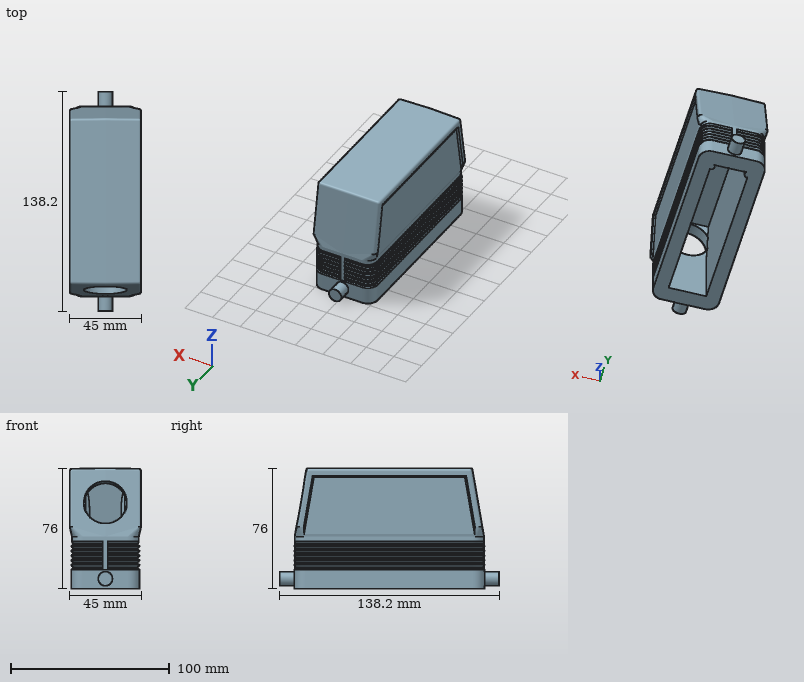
import cadquery as cq
import math

overall_length = 138.2
height = 76.0

band_width = 43.1
band_length = 120.0
band_height = 12.0
corner_radius = 7.2
pin_diameter = 9.0
pin_height = 6.4

rib_count = 6
neck_bottom = 29.9
rib_pitch = (neck_bottom - band_height) / rib_count
rib_depth = 1.04
rib_top_height = 0.7
rib_underside_height = 1.31
rib_gap_width = 3.0

neck_width = 42.3
neck_length = 119.4
neck_top = 32.9

hood_width = 45.0
hood_top_length = 104.5
hood_draft_angle = 1.0
hood_fillet = 1.7
shoulder_height = 39.0
hood_half_edge = hood_width / 2 - hood_fillet

panel_depth = 1.04
panel_margin = 4.7
panel_wall_angle = 45.0

entry_diameter = 27.1
entry_height = 54.5
entry_depth = 8.5
cavity_width = 24.6
post_radius = 2.5
post_merge_height = 47.7

end_slope = (neck_length - hood_top_length) / 2 / (height - neck_top)
end_angle = math.degrees(math.atan(end_slope))


def hood_half_length(z):
    """Half length of the sloping hood at height z, on the middle plane."""
    return neck_length / 2 - end_slope * (z - neck_top)


def rounded_block(width, length, bottom, top, radius, taper=0):
    """Vertical block with rounded corners; a positive taper narrows it upwards."""
    outline = cq.Sketch().rect(width, length).vertices().fillet(radius)
    return cq.Workplane("XY", origin=(0, 0, bottom)).placeSketch(outline).extrude(top - bottom, taper=taper)


def side_trapezoid(bottom, top, inset=0):
    """Hood outline in the YZ plane between two heights, with its ends moved inwards by inset."""
    low = hood_half_length(bottom) - inset
    high = hood_half_length(top) - inset
    return cq.Workplane("YZ").polyline([(-low, bottom), (low, bottom), (high, top), (-high, top)]).close()


def rib_flank(width, length, peak, flank_height, depth):
    """Sloping block that narrows by depth on every side, upwards from a rib peak."""
    flank_angle = math.degrees(math.atan(depth / flank_height))
    return rounded_block(width, length, peak, peak + flank_height, corner_radius, flank_angle)


def make_grip():
    """Ribbed section: a core, one V rib per pitch and a plain upright on each end."""
    core_width = band_width - 2 * rib_depth
    core_length = band_length - 2 * rib_depth
    core_radius = corner_radius - rib_depth
    grip = rounded_block(core_width, core_length, band_height, neck_bottom, core_radius)
    for index in range(rib_count):
        peak = band_height + index * rib_pitch
        grip = grip.union(rib_flank(band_width, band_length, peak, rib_top_height, rib_depth))
        if index > 0:
            underside = rib_flank(band_width, band_length, peak, rib_underside_height, rib_depth)
            grip = grip.union(underside.mirror("XY", (0, 0, peak)))
    neck_depth = (neck_width - core_width) / 2
    neck_underside = rib_flank(neck_width, neck_length, neck_bottom, rib_underside_height, neck_depth)
    grip = grip.union(neck_underside.mirror("XY", (0, 0, neck_bottom)))
    for side in (-1, 1):
        gap_center = side * (neck_length / 2 + rib_depth)
        gap = cq.Workplane("XY", origin=(0, gap_center, band_height)).rect(rib_gap_width, 2 * rib_depth)
        grip = grip.cut(gap.extrude(neck_bottom - band_height))
    upright = cq.Workplane("XY", origin=(0, 0, band_height)).rect(rib_gap_width, neck_length)
    return grip.union(upright.extrude(neck_bottom - band_height))


def make_shoulder():
    """Flare from the neck outline to the lower outline of the hood."""
    draft_slope = math.tan(math.radians(hood_draft_angle))
    draft_loss = hood_half_edge * draft_slope / math.cos(math.radians(end_angle))
    shoulder_length = 2 * (hood_half_length(shoulder_height) - draft_loss)
    lower = cq.Sketch().rect(neck_width, neck_length).vertices().fillet(corner_radius)
    upper = cq.Sketch().rect(hood_width, shoulder_length).vertices().fillet(hood_fillet)
    return (
        cq.Workplane("XY", origin=(0, 0, neck_top))
        .placeSketch(lower, upper.moved(cq.Location(cq.Vector(0, 0, shoulder_height - neck_top))))
        .loft(ruled=True)
    )


def make_hood():
    """Drafted, rounded hood whose underside is a shallow V in the end faces."""
    half = side_trapezoid(0, height).extrude(hood_width / 2, taper=hood_draft_angle)
    half = half.faces(">X or >Z").edges().edges("not(<Z or <X)").fillet(hood_fillet)
    hood = half.union(half.mirror("YZ"))
    edge = hood_width / 2
    front_outline = [
        (0, neck_top),
        (hood_half_edge, shoulder_height),
        (edge, shoulder_height),
        (edge, height),
        (-edge, height),
        (-edge, shoulder_height),
        (-hood_half_edge, shoulder_height),
    ]
    envelope = cq.Workplane("XZ").polyline(front_outline).close().extrude(overall_length / 2, both=True)
    return hood.intersect(envelope)


def make_panel_recess():
    """Cutter for the sloping-walled panel on the +X side."""
    outline = side_trapezoid(neck_top - panel_depth, height - panel_margin, panel_margin)
    cutter = outline.extrude(-panel_depth, taper=panel_wall_angle)
    return cutter.translate((hood_width / 2, 0, 0))


def make_cavity():
    """Inner space, open at the bottom, with ends that lean like the hood and two posts at the +Y end."""
    wall = entry_depth / math.cos(math.radians(end_angle))
    top = height - entry_depth
    top_half = hood_half_length(top) - wall
    low_half = hood_half_length(shoulder_height) - wall
    outline = [(-low_half, 0), (low_half, 0), (low_half, shoulder_height), (top_half, top),
               (-top_half, top), (-low_half, shoulder_height)]
    cavity = cq.Workplane("YZ").polyline(outline).close().extrude(cavity_width / 2, both=True)
    post_y = hood_half_length(post_merge_height) - wall
    posts = cq.Workplane("XY").pushPoints([(side * cavity_width / 2, post_y) for side in (-1, 1)])
    return cavity.cut(posts.circle(post_radius).extrude(top))


def make_cable_entry():
    """Bore square to the sloping -Y end of the hood."""
    plane = cq.Plane(
        origin=(0, -hood_half_length(entry_height), entry_height),
        xDir=(1, 0, 0),
        normal=(0, -1, end_slope),
    )
    return cq.Workplane(plane).circle(entry_diameter / 2).extrude(-entry_depth)


result = rounded_block(band_width, band_length, 0, band_height, corner_radius)
result = result.union(make_grip())
result = result.union(rounded_block(neck_width, neck_length, neck_bottom, neck_top, corner_radius))
result = result.union(make_shoulder())
result = result.union(make_hood())

panel = make_panel_recess()
result = result.cut(panel).cut(panel.mirror("YZ"))

pins = cq.Workplane("XZ", origin=(0, 0, pin_height)).circle(pin_diameter / 2)
result = result.union(pins.extrude(overall_length / 2, both=True))
result = result.cut(make_cavity()).cut(make_cable_entry())